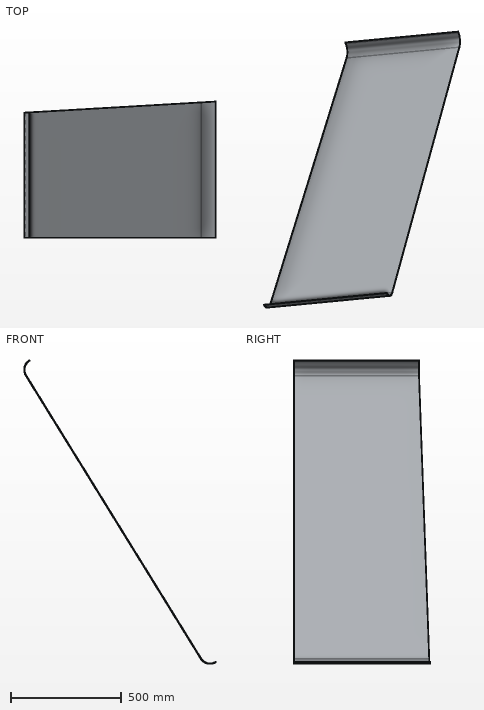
import cadquery as cq
import math

overall_length = 871.0
overall_height = 1378.46
wide_end_width = 619.32
narrow_end_width = 570.0

sheet_thickness = 2.0
curl_radius = 50.0
lip_length = 5.0

curl_sweep = math.atan2(curl_radius, lip_length)
rim_reach = math.hypot(curl_radius, lip_length)

slope_run = overall_length - curl_radius
slope_rise = overall_height - curl_radius
slope_angle = math.atan2(slope_rise, slope_run)
flat_length = math.hypot(slope_run, slope_rise) - rim_reach

upper_center = (curl_radius, overall_height - rim_reach * math.sin(slope_angle))
lower_center = (overall_length - rim_reach * math.cos(slope_angle), curl_radius)

slope_plane = cq.Plane(
    origin=(
        (upper_center[0] + lower_center[0]) / 2,
        0,
        (upper_center[1] + lower_center[1]) / 2,
    ),
    xDir=(math.cos(slope_angle), 0, -math.sin(slope_angle)),
    normal=(0, -1, 0),
)


def curl_point(side, radius, turn, along_lip=0.0):
    """Point (u, v) on a curl, turned from the flat; side is +1 for the lower curl, -1 for the upper."""
    u = flat_length / 2 + radius * math.sin(turn) + along_lip * math.cos(turn)
    v = -radius * math.cos(turn) + along_lip * math.sin(turn)
    return (side * u, v)


def curled_sheet():
    """Sloping flat with a curl and a short straight lip along its upper and lower edges."""
    outer = curl_radius
    inner = curl_radius - sheet_thickness
    half_sweep = curl_sweep / 2
    upper = -1
    lower = 1
    profile = (
        cq.Workplane(slope_plane)
        .moveTo(*curl_point(upper, outer, curl_sweep, lip_length))
        .lineTo(*curl_point(upper, outer, curl_sweep))
        .threePointArc(curl_point(upper, outer, half_sweep), curl_point(upper, outer, 0))
        .lineTo(*curl_point(lower, outer, 0))
        .threePointArc(curl_point(lower, outer, half_sweep), curl_point(lower, outer, curl_sweep))
        .lineTo(*curl_point(lower, outer, curl_sweep, lip_length))
        .lineTo(*curl_point(lower, inner, curl_sweep, lip_length))
        .lineTo(*curl_point(lower, inner, curl_sweep))
        .threePointArc(curl_point(lower, inner, half_sweep), curl_point(lower, inner, 0))
        .lineTo(*curl_point(upper, inner, 0))
        .threePointArc(curl_point(upper, inner, half_sweep), curl_point(upper, inner, curl_sweep))
        .lineTo(*curl_point(upper, inner, curl_sweep, lip_length))
        .close()
    )
    return profile.extrude(-wide_end_width)


def tapered_block():
    """Full-height block whose back side runs straight from the narrow upper rim to the wide lower rim."""
    upper_rim_x = upper_center[0] - rim_reach * math.cos(slope_angle)
    taper = (wide_end_width - narrow_end_width) / (overall_length - upper_rim_x)
    left_side_width = wide_end_width - taper * overall_length
    return (
        cq.Workplane("XY")
        .moveTo(0, 0)
        .lineTo(overall_length, 0)
        .lineTo(overall_length, wide_end_width)
        .lineTo(0, left_side_width)
        .close()
        .extrude(overall_height)
    )


result = curled_sheet().intersect(tapered_block())